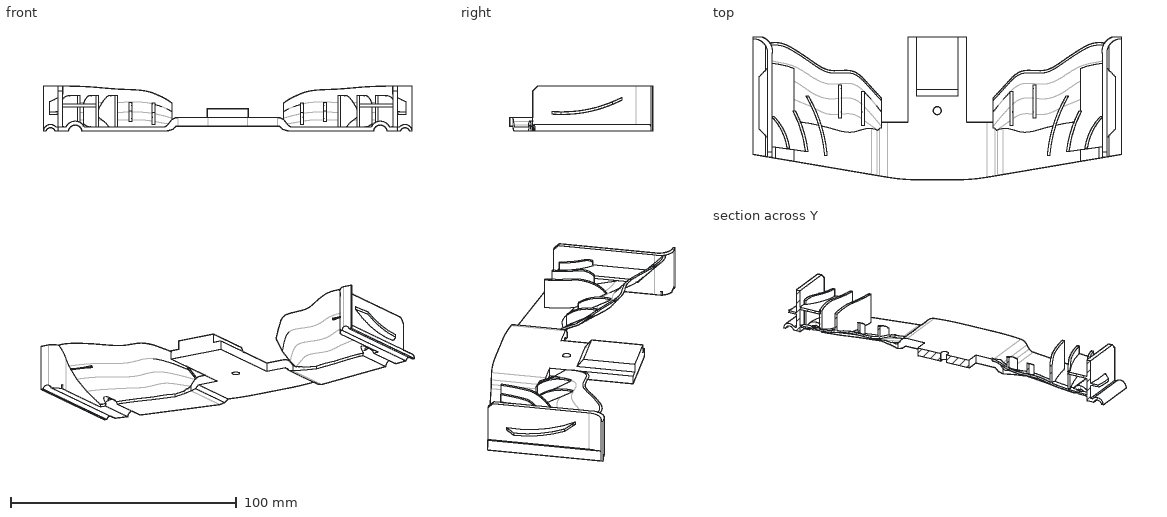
import cadquery as cq


half_span = 81.6
length = 63.3
height = 20.0

floor_thickness = 1.8
center_bottom = 2.1
center_top = 6.0
center_half_width = 22.0
center_rear = 25.6
step_foot_x = -29.0
step_bottom_x = -26.8
nose_half_width = 8.6
center_front_setback = 1.1
tip_front = 11.3
floor_corner_rear = 59.2

arch_x = -67.5
arch_half_width = 3.0
arch_roof = 2.6
arch_hump_half_width = 4.0
tunnel_x = -78.5
tunnel_half_width = 2.0
tunnel_roof = 1.5
tunnel_hump_top = 3.0
tunnel_hump_inner_x = -76.0

tail_half_width = 13.0
ridge_half_width = 9.1
ridge_front = 37.2
ridge_slope_run = 3.0
ridge_top = 10.0
hole_diameter = 3.5
hole_y = 30.7

plate_outer_x = -75.0
plate_inner_x = -73.1
plate_front = 10.1
plate_chamfer = 2.3
curl_start = 55.8
curl_tail_thickness = 0.8

shelf_bottom = 10.8
shelf_top = 12.0
shelf_outer_front = (plate_inner_x, 14.7)
shelf_outer_rear = (plate_inner_x, 52.2)
shelf_inner_rear = (-63.3, 50.3)

vane_thickness = 1.1
vane_top = 15.7
vane_flat_rear = 25.0
middle_vane = [(-57.8, 12.5), (-59.5, 21.2), (-63.3, 30.5)]
strake_thickness = 1.3

winglet_outer_x = -79.0
winglet_front = 18.6
winglet_rear = 49.6
winglet_thickness = 1.1
winglet_taper = 4.0
winglet_front_z = 7.5
winglet_middle = (33.0, 8.2)
winglet_rear_z = 13.7

flap_thickness = 1.1
flap_stations = [
    (-73.8, [(26.8, 1.8), (38.0, 4.9), (46.2, 8.3), (52.7, 12.7), (59.5, 20.0)]),
    (-67.4, [(26.5, 1.8), (37.0, 4.9), (45.2, 8.3), (51.5, 12.7), (58.9, 19.9)]),
    (-62.5, [(26.0, 1.8), (35.2, 4.9), (43.2, 8.3), (50.0, 12.7), (56.3, 19.7)]),
    (-56.1, [(25.0, 1.8), (32.6, 4.9), (39.0, 8.3), (46.0, 12.7), (52.0, 19.3)]),
    (-47.6, [(23.0, 1.8), (29.0, 4.9), (35.9, 8.3), (42.5, 12.7), (47.5, 18.6)]),
    (-37.2, [(21.2, 1.8), (29.0, 4.9), (35.9, 8.3), (42.5, 12.7), (47.0, 18.0)]),
    (-31.5, [(22.7, 1.8), (25.6, 4.0), (31.7, 7.5), (38.2, 11.6), (42.6, 16.3)]),
    (-24.6, [(20.5, 1.6), (21.0, 3.0), (23.7, 5.7), (30.0, 8.6), (35.1, 12.4)]),
]


def slab(bottom, top, outline):
    """Vertical prism from a list of plan points."""
    return cq.Workplane("XY").workplane(offset=bottom).polyline(outline).close().extrude(top - bottom)


def make_floor():
    """Waved sheet: raised centre, step down, shallow arch and a tunnel along the tip."""
    profile = (
        cq.Workplane("XZ", origin=(0, length, 0))
        .moveTo(0, center_bottom)
        .lineTo(0, center_top)
        .lineTo(-center_half_width, center_top)
        .threePointArc((-24.0, 5.5), (-25.5, 4.2))
        .lineTo(step_bottom_x, 2.6)
        .threePointArc((-27.7, 2.0), (step_foot_x, floor_thickness))
        .lineTo(arch_x + arch_hump_half_width, floor_thickness)
        .threePointArc(
            (arch_x, arch_roof + floor_thickness),
            (arch_x - arch_hump_half_width, floor_thickness),
        )
        .lineTo(tunnel_hump_inner_x, floor_thickness)
        .threePointArc((tunnel_x, tunnel_hump_top), (-half_span, 0))
        .lineTo(step_bottom_x, 0)
        .lineTo(-24.5, 0.7)
        .lineTo(-22.8, center_bottom)
        .close()
        .extrude(length)
    )
    flap_foot = [(x, section[0][0] + flap_thickness) for x, section in flap_stations[:-1]]
    rear_edge = [(-half_span, length), (plate_inner_x, floor_corner_rear)]
    rear_edge += flap_foot
    rear_edge += [(step_bottom_x, center_rear), (-tail_half_width, center_rear)]
    rear_edge += [(-tail_half_width, length), (0, length)]
    plan = (
        cq.Workplane("XY")
        .lineTo(-nose_half_width, 0)
        .tangentArcPoint((-center_half_width, center_front_setback), relative=False)
        .lineTo(-half_span, tip_front)
    )
    for point in rear_edge:
        plan = plan.lineTo(*point)
    return profile.intersect(plan.close().extrude(height))


def make_duct(center_x, half_width, roof):
    """Arched passage left open below the floor from front to rear."""
    return (
        cq.Workplane("XZ", origin=(0, length, 0))
        .moveTo(center_x - half_width, 0)
        .threePointArc((center_x, roof), (center_x + half_width, 0))
        .close()
        .extrude(length)
    )


def make_ridge():
    """Half of the raised block on the tail, sloped at its front."""
    return (
        cq.Workplane("YZ")
        .moveTo(ridge_front, center_top)
        .lineTo(ridge_front + ridge_slope_run, ridge_top)
        .lineTo(length, ridge_top)
        .lineTo(length, center_top)
        .close()
        .extrude(-ridge_half_width)
    )


def make_end_plate():
    """Upright plate whose rear curls outward to the wing tip."""
    plan = (
        cq.Workplane("XY")
        .moveTo(plate_outer_x, plate_front)
        .lineTo(plate_inner_x, plate_front)
        .lineTo(plate_inner_x, curl_start)
        .threePointArc((-74.1, 60.7), (-77.7, length))
        .lineTo(-half_span, length)
        .lineTo(-half_span, length - curl_tail_thickness)
        .threePointArc((-76.9, 60.5), (plate_outer_x, curl_start))
        .close()
        .extrude(height)
    )
    return plan.faces("<Y").edges(">Z").chamfer(plate_chamfer)


def flap_section(x, upper):
    """Closed loop of points around the flap at one span station."""
    drop_back = 0.8 * flap_thickness
    drop_down = 0.6 * flap_thickness
    lower = [(y + drop_back, z - drop_down) for y, z in upper[:-1]]
    top_y, top_z = upper[-1]
    lower.append((top_y + flap_thickness, top_z))
    return [cq.Vector(x, y, z) for y, z in upper + lower[::-1]]


def make_flap():
    """Swept-up rear flap: spanwise curves joined by ruled faces, with flat ends."""
    sections = [flap_section(x, upper) for x, upper in flap_stations]
    rails = [cq.Edge.makeSpline(list(points)) for points in zip(*sections)]
    faces = [cq.Face.makeRuledSurface(rails[i - 1], rails[i]) for i in range(len(rails))]
    for end in (sections[0], sections[-1]):
        faces.append(cq.Face.makeFromWires(cq.Wire.makePolygon(end, close=True)))
    solid = cq.Solid.makeSolid(cq.Shell.makeShell(faces))
    return cq.Workplane(solid.fix())


def make_vane(front, middle, rear, rear_z, foot):
    """Guide vane: strip curved through three (x, y) points.

    Its rear tip is at height rear_z and its foot on the flap is a (y, z) point.
    """
    half = vane_thickness / 2
    strip = (
        cq.Workplane("XY")
        .moveTo(front[0] - half, front[1])
        .threePointArc((middle[0] - half, middle[1]), (rear[0] - half, rear[1]))
        .lineTo(rear[0] + half, rear[1])
        .threePointArc((middle[0] + half, middle[1]), (front[0] + half, front[1]))
        .close()
        .extrude(height)
    )
    bulge = (0.6 * rear[1] + 0.4 * vane_flat_rear, 0.65 * vane_top + 0.35 * rear_z)
    side = (
        cq.Workplane("YZ")
        .moveTo(front[1], floor_thickness / 2)
        .lineTo(front[1], vane_top)
        .lineTo(vane_flat_rear, vane_top)
        .threePointArc(bulge, (rear[1], rear_z))
        .lineTo(*foot)
        .close()
        .extrude(-half_span)
    )
    return strip.intersect(side)


def make_strake(x, rear, bulge, front, foot):
    """Thin leaf-shaped rib standing on the flap; points are (y, z)."""
    return (
        cq.Workplane("YZ", origin=(x - strake_thickness / 2, 0, 0))
        .moveTo(*rear)
        .threePointArc(bulge, front)
        .lineTo(*foot)
        .close()
        .extrude(strake_thickness)
    )


def make_shelf():
    """Flat plate whose inner edge follows the middle guide vane."""
    outline = [shelf_outer_front, *middle_vane, shelf_inner_rear, shelf_outer_rear]
    return slab(shelf_bottom, shelf_top, outline)


def make_winglet():
    """Curved strip on the outside of the end plate, with tapered ends."""
    middle_y, middle_z = winglet_middle
    strip = (
        cq.Workplane("YZ", origin=(winglet_outer_x, 0, 0))
        .moveTo(winglet_front, winglet_front_z)
        .threePointArc(winglet_middle, (winglet_rear, winglet_rear_z))
        .lineTo(winglet_rear, winglet_rear_z + winglet_thickness)
        .threePointArc(
            (middle_y, middle_z + winglet_thickness),
            (winglet_front, winglet_front_z + winglet_thickness),
        )
        .close()
        .extrude(plate_inner_x - winglet_outer_x)
    )
    plan = slab(0, height, [
        (plate_inner_x, winglet_front),
        (plate_outer_x, winglet_front),
        (winglet_outer_x, winglet_front + winglet_taper),
        (winglet_outer_x, winglet_rear - winglet_taper),
        (plate_outer_x, winglet_rear),
        (plate_inner_x, winglet_rear),
    ])
    return strip.intersect(plan)


half_wing = make_floor()
half_parts = [
    make_ridge(),
    make_end_plate(),
    make_flap(),
    make_shelf(),
    make_winglet(),
    make_vane((-66.0, 14.2), (-68.5, 22.2), (-72.8, 28.0), 13.9, (28.0, 1.0)),
    make_vane(*middle_vane, 12.0, (30.5, 2.5)),
    make_vane((-49.3, 11.0), (-51.9, 24.2), (-57.6, 37.2), 6.9, (23.8, 1.1)),
    make_strake(-43.0, (42.3, 12.4), (35.1, 12.4), (27.4, 9.0), (27.4, 3.9)),
    make_strake(-32.8, (39.2, 11.9), (31.8, 12.0), (24.2, 8.2), (24.2, 2.3)),
]
for part in half_parts:
    half_wing = half_wing.union(part)

half_wing = half_wing.cut(make_duct(arch_x, arch_half_width, arch_roof))
half_wing = half_wing.cut(make_duct(tunnel_x, tunnel_half_width, tunnel_roof))

hole = cq.Workplane("XY").center(0, hole_y).circle(hole_diameter / 2).extrude(height)
result = half_wing.union(half_wing.mirror("YZ")).cut(hole)